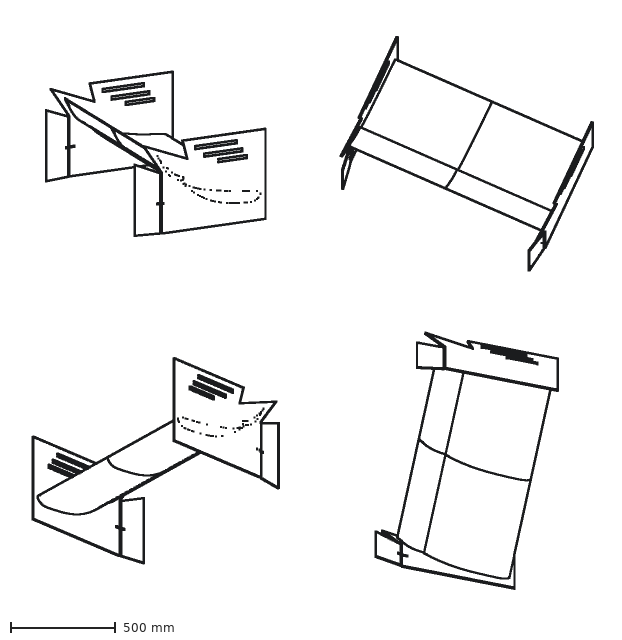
import cadquery as cq

span = 1030.0
depth = 683.0
height = 450.0

plate_thickness = 6.0
plate_inner_x = span / 2 - plate_thickness
plate_tip_y = -647.0
plate_lower_y = -549.0
shoulder_z = 302.0
notch_top_y = -440.0
notch_y = -415.0
notch_z = 356.0
slot_height = 15.0
slots = [
    (-152.0, 220.0, 399.0),
    (-124.0, 202.0, 354.0),
    (-99.0, 151.0, 317.0),
]

fin_gap = 7.0
fin_start_y = plate_lower_y - fin_gap
fin_thickness = 5.0
fin_start_x = span / 2 - 4.0
fin_toe_in = 20.0
fin_tip_z = 355.0
fin_slope = fin_toe_in / (depth + fin_start_y)
fin_inner_x = fin_start_x - fin_thickness

strip_thickness = 3.0
strip_height = 5.0
strip_z = 146.0
strip_start_y = -523.0
strip_end_y = -571.0

main_leading = (-27.0, 124.0)
main_top = [(-134.0, 156.0), (-237.0, 173.0), (-350.0, 197.0)]
main_trailing_top = (-443.0, 243.0)
main_trailing_bottom = (-443.0, 240.0)
main_bottom = [(-44.0, 104.0), (-103.0, 95.0), (-288.0, 130.0)]

flap_leading = (-434.0, 262.0)
flap_top = [(-453.0, 274.0), (-515.0, 317.0)]
flap_trailing_top = (-574.0, 395.0)
flap_trailing_bottom = (-574.0, 391.0)
flap_bottom = [(-438.0, 254.0), (-458.0, 254.0), (-525.0, 305.0)]


def make_end_plate():
    """Notched and slotted plate on the +X side."""
    outline = [
        (0, 0),
        (0, height),
        (notch_top_y, height),
        (notch_y, notch_z),
        (plate_tip_y, height),
        (plate_lower_y, shoulder_z),
        (plate_lower_y, 0),
    ]
    base = cq.Workplane("YZ", origin=(plate_inner_x, 0, 0))
    plate = base.polyline(outline).close().extrude(plate_thickness)
    for slot_y, slot_length, slot_z in slots:
        slot = cq.Workplane("XY").box(
            plate_thickness, slot_length, slot_height, centered=False
        )
        plate = plate.cut(slot.translate((plate_inner_x, slot_y - slot_length, slot_z)))
    return plate


def make_fin():
    """Toed-in fin on the +X side, with a top edge that rises to its tip."""
    footprint = [
        (fin_inner_x, fin_start_y),
        (fin_start_x, fin_start_y),
        (fin_start_x - fin_toe_in, -depth),
        (fin_inner_x - fin_toe_in, -depth),
    ]
    profile = [
        (fin_start_y, 0),
        (fin_start_y, shoulder_z),
        (-depth, fin_tip_z),
        (-depth, 0),
    ]
    blade = cq.Workplane("XY").polyline(footprint).close().extrude(height)
    envelope = cq.Workplane("YZ").polyline(profile).close().extrude(span)
    return blade.intersect(envelope)


def make_hinge_strip():
    """Bent strip lying on the inner faces of the +X plate and fin."""
    end_x = fin_inner_x + fin_slope * (strip_end_y - fin_start_y)
    outer_edge = [
        (plate_inner_x, strip_start_y),
        (plate_inner_x, plate_lower_y),
        (fin_inner_x, fin_start_y),
        (end_x, strip_end_y),
    ]
    inner_edge = [(x - strip_thickness, y) for x, y in reversed(outer_edge)]
    base = cq.Workplane("XY", origin=(0, 0, strip_z))
    return base.polyline(outer_edge + inner_edge).close().extrude(strip_height)


def make_wing(leading, top, trailing_top, trailing_bottom, bottom):
    """Half-span wing from the mid plane to the +X plate, with a blunt trailing edge."""
    surface = [trailing_bottom] + bottom[::-1] + [leading] + top + [trailing_top]
    return cq.Workplane("YZ").spline(surface).close().extrude(plate_inner_x)


def make_main_wing():
    return make_wing(
        main_leading, main_top, main_trailing_top, main_trailing_bottom, main_bottom
    )


def make_flap():
    return make_wing(
        flap_leading, flap_top, flap_trailing_top, flap_trailing_bottom, flap_bottom
    )


bodies = []
for make_body in (make_end_plate, make_fin, make_hinge_strip, make_main_wing, make_flap):
    body = make_body()
    bodies.append(body.val())
    bodies.append(body.mirror("YZ").val())

result = cq.Compound.makeCompound(bodies)